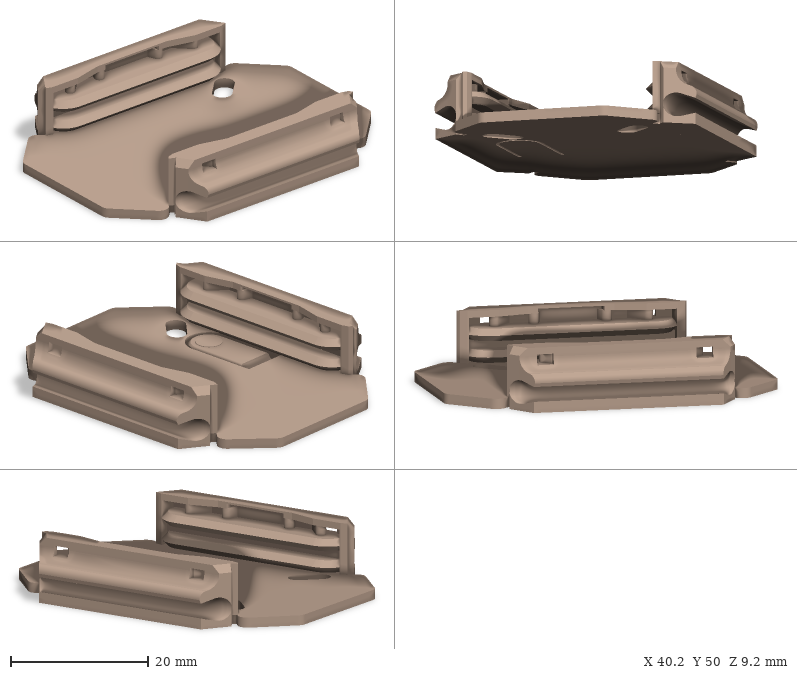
import cadquery as cq
import math

clearance = 1.0

plate_length = 50.0
plate_thickness = 1.5
plate_end_half_width = 9.5
plate_corner_x = 16.05
plate_edge_x = 15.1
corner_radius = 1.5
relief_x = 14.2
relief_width = 1.1

oblong_x = 9.95
oblong_y = 13.0
oblong_width = 3.0
oblong_length = 6.3
oblong_angle = 45

tab_x = 9.58
tab_y = 6.3
tab_radius = 3.0
tab_gap = 0.5
tab_chamfer = 0.3
hinge_y = -3.7
hinge_radius = 1.0
button_diameter = 4.0
button_height = 0.1

rail_tip_x = 11.9
rail_base_z = 1.6
rail_thickness = 1.85
rail_pitch = 3.2
rail_back_x = [15.1, 16.8]
rail_edge_angle = 45
rail_corner_radius = 4.0
rail_corner_y = 12.2

clip_height = 9.2
flange_thickness = 1.0
clip_inner_x = 13.88
wall_x = 17.5
lip_x = 19.93
clip_outer_x = 40.21 / 2
pocket_half_length = 15.6
lip_face_z = 4.4
lip_nose = (19.85, 5.25)
lip_back_x = 19.33
hook_radius = 2.2
hook_root_z = 7.83
groove_x = 17.6
groove_z = 2.75
groove_radius = 1.75
mouth_half_height = 1.1

end_slope = 0.68
jaw_end_slope = 0.65
end_tip_x = 15.9
end_tip_y = 16.9
column_tip_x = 14.22
column_tip_y = 16.85
column_root_y = 15.8
end_chamfer_height = 1.1

hook_tip = (14.72, 17.25)
hook_outer_middle = (14.97, 16.72)
hook_inner = (14.2, 16.87)

scallop_x = 15.0
scallop_half_length = 6.5
scallop_taper_end = 11.0
thin_flange_half_length = 5.0
thin_flange_thickness = 0.3

window_y = 11.95
window_width = 2.5

rib_width = 1.5
ribs = [(14.4, 11.5, 45), (15.1, 5.45, 20)]

rail_top = rail_base_z + rail_pitch + rail_thickness
flange_bottom = clip_height - flange_thickness


def box(x_min, x_max, y_min, y_max, z_min, z_max):
    """Block between the given limits."""
    size = (x_max - x_min, y_max - y_min, z_max - z_min)
    return cq.Workplane("XY").box(*size, centered=False).translate((x_min, y_min, z_min))


def plate_blank():
    """Octagon with a 45 degree relief beside each end of each clip."""
    half_length = plate_length / 2
    corner_y = half_length - (plate_corner_x - plate_end_half_width)
    relief_y = corner_y - (plate_corner_x - relief_x)
    step = relief_width / math.sqrt(2)
    edge_y = relief_y - step - (plate_edge_x - relief_x - step)
    quarter = [
        (plate_end_half_width, half_length),
        (plate_corner_x, corner_y),
        (relief_x, relief_y),
        (plate_edge_x, edge_y),
    ]
    outline = quarter + [(x, -y) for x, y in reversed(quarter)]
    outline += [(-x, -y) for x, y in quarter] + [(-x, y) for x, y in reversed(quarter)]
    blank = cq.Workplane("XY").polyline(outline).close().extrude(plate_thickness)

    def round_corners(body, x, y):
        for sx in (-1, 1):
            for sy in (-1, 1):
                corner = cq.selectors.NearestToPointSelector((sx * x, sy * y, plate_thickness / 2))
                body = body.edges("|Z").edges(corner).fillet(corner_radius)
        return body

    blank = round_corners(blank, plate_end_half_width, half_length)
    return round_corners(blank, plate_corner_x, corner_y)


def tab_shape(radius):
    """Straight tongue from the hinge line to a round end."""
    tongue = box(tab_x - radius, tab_x + radius, hinge_y, tab_y, 0, plate_thickness)
    return tongue.union(cq.Workplane("XY").center(tab_x, tab_y).circle(radius).extrude(plate_thickness))


def make_plate():
    plate = plate_blank()
    for side in (-1, 1):
        plate = plate.cut(
            cq.Workplane("XY")
            .center(side * oblong_x, oblong_y)
            .transformed(rotate=(0, 0, side * oblong_angle))
            .slot2D(oblong_length, oblong_width)
            .extrude(plate_thickness)
        )
    opening_radius = tab_radius + tab_gap
    tab = tab_shape(tab_radius).faces(">Z").edges().chamfer(tab_chamfer)
    plate = plate.cut(tab_shape(opening_radius)).union(tab)
    hinge_groove = (
        cq.Workplane("YZ", origin=(tab_x - opening_radius, 0, 0))
        .center(hinge_y, plate_thickness)
        .circle(hinge_radius)
        .extrude(2 * opening_radius)
    )
    return plate.cut(hinge_groove)


def make_button():
    """Round button standing on the spring tab."""
    return (
        cq.Workplane("XY", origin=(tab_x, tab_y, plate_thickness))
        .circle(button_diameter / 2)
        .extrude(button_height)
    )


def make_rail(side, level):
    """Flat rail with a pointed inner edge and rounded ends, on the +X or -X side."""
    half = rail_thickness / 2
    half_length = rail_corner_y + rail_corner_radius
    back_x = clip_outer_x
    upper = (
        cq.Workplane("XY")
        .moveTo(back_x, -half_length)
        .lineTo(rail_tip_x + rail_corner_radius, -half_length)
        .radiusArc((rail_tip_x, -rail_corner_y), rail_corner_radius)
        .lineTo(rail_tip_x, rail_corner_y)
        .radiusArc((rail_tip_x + rail_corner_radius, half_length), rail_corner_radius)
        .lineTo(back_x, half_length)
        .close()
        .extrude(half, taper=rail_edge_angle)
    )
    rail = upper.union(upper.mirror("XY"))
    rail = rail.intersect(
        box(rail_tip_x, rail_back_x[level], -pocket_half_length, pocket_half_length, -half, half)
    )
    rail = rail.translate((0, 0, rail_base_z + level * rail_pitch + half))
    return rail if side > 0 else rail.mirror("YZ")


def clip_profile():
    """Cross-section with the cable groove between two jaws, along the clip."""
    mouth_x = lip_x - groove_x
    reach = math.hypot(mouth_x, mouth_half_height)
    angle = math.atan2(mouth_half_height, mouth_x) + math.acos(groove_radius / reach)
    tangent_x = groove_x + groove_radius * math.cos(angle)
    tangent_rise = groove_radius * math.sin(angle)
    lip_back_z = hook_root_z - math.sqrt(hook_radius**2 - (hook_radius - lip_back_x + wall_x) ** 2)
    length = 2 * (column_tip_y + clearance)
    return (
        cq.Workplane("XZ", origin=(0, length / 2, 0))
        .moveTo(clip_inner_x, 0)
        .lineTo(lip_x, 0)
        .lineTo(lip_x, groove_z - mouth_half_height)
        .lineTo(tangent_x, groove_z - tangent_rise)
        .threePointArc((groove_x - groove_radius, groove_z), (tangent_x, groove_z + tangent_rise))
        .lineTo(lip_x, groove_z + mouth_half_height)
        .lineTo(clip_outer_x, lip_face_z)
        .threePointArc(lip_nose, (lip_back_x, lip_back_z))
        .radiusArc((wall_x, hook_root_z), hook_radius)
        .lineTo(wall_x, clip_height)
        .lineTo(clip_inner_x, clip_height)
        .close()
        .extrude(length)
    )


def end_notch_corner():
    """Plan point where the 45 degree clip end runs into the slanted column end."""
    x = end_tip_x + (column_tip_y - end_tip_y + end_slope * (column_tip_x - end_tip_x)) / (1 + end_slope)
    return x, end_tip_y + x - end_tip_x


def clip_plan(hooked):
    """Outline of a clip seen from above, as a tall prism."""
    outer_x = clip_outer_x + clearance
    wall_y = end_tip_y - end_slope * (wall_x - end_tip_x)
    outer_y = wall_y - jaw_end_slope * (outer_x - wall_x)
    half = cq.Workplane("XY").moveTo(clip_inner_x, 0).lineTo(outer_x, 0)
    half = half.lineTo(outer_x, outer_y).lineTo(wall_x, wall_y)
    half = half.lineTo(end_tip_x, end_tip_y).lineTo(*end_notch_corner())
    if hooked:
        half = half.threePointArc(hook_outer_middle, hook_tip).lineTo(*hook_inner)
    else:
        half = half.lineTo(column_tip_x, column_tip_y)
    half = half.lineTo(clip_inner_x, column_root_y).close().extrude(clip_height)
    return half.union(half.mirror("XZ"))


def end_chamfer():
    """Wedge that bevels the top of the slanted end, back to the line of the column end."""
    x, inner_y = end_notch_corner()
    outer_y = end_tip_y - end_slope * (x - end_tip_x)
    clear_y = outer_y + clearance
    bevel_z = clip_height - end_chamfer_height
    corners = [(inner_y, clip_height), (outer_y, bevel_z), (clear_y, bevel_z), (clear_y, clip_height)]
    wire = cq.Wire.makePolygon([cq.Vector(x, y, z) for y, z in corners], close=True)
    reach = clip_outer_x - x
    along = cq.Vector(reach, -end_slope * reach, 0)
    wedge = cq.Workplane(obj=cq.Solid.extrudeLinear(wire, [], along))
    return wedge.union(wedge.mirror("XZ"))


def flange_scallop():
    """Shallow trapezoid taken out of the inner edge of the top flange."""
    return (
        cq.Workplane("XY", origin=(0, 0, flange_bottom))
        .moveTo(clip_inner_x, -scallop_taper_end)
        .lineTo(scallop_x, -scallop_half_length)
        .lineTo(scallop_x, scallop_half_length)
        .lineTo(clip_inner_x, scallop_taper_end)
        .close()
        .extrude(flange_thickness)
    )


def flange_rib(nose_x, y, angle):
    """Rib hanging from the flange to the top rail, rounded toward the middle of the part."""
    centre_x = nose_x + rib_width / 2
    height = flange_bottom - rail_top
    run = 2 * (rail_back_x[-1] - centre_x)
    nose = cq.Workplane("XY").circle(rib_width / 2).extrude(height)
    rib = nose.union(box(0, run, -rib_width / 2, rib_width / 2, 0, height))
    rib = rib.rotate((0, 0, 0), (0, 0, 1), -angle).translate((centre_x, y, rail_top))
    return rib.intersect(
        box(clip_inner_x, rail_back_x[-1], 0, pocket_half_length, rail_top, flange_bottom)
    )


def make_clip(side):
    hooked = side > 0
    clip = clip_profile().intersect(clip_plan(hooked))
    clip = clip.cut(box(clip_inner_x, plate_edge_x, -plate_length, plate_length, 0, plate_thickness))
    clip = clip.cut(end_chamfer())

    clip = clip.cut(
        box(clip_inner_x, rail_back_x[0], -pocket_half_length, pocket_half_length,
            plate_thickness, flange_bottom)
    )
    clip = clip.cut(
        box(clip_inner_x, rail_back_x[-1], -pocket_half_length, pocket_half_length,
            rail_top - rail_thickness, flange_bottom)
    )
    clip = clip.cut(flange_scallop())
    clip = clip.cut(
        box(clip_inner_x, rail_back_x[-1], -thin_flange_half_length, thin_flange_half_length,
            flange_bottom, clip_height - thin_flange_thickness)
    )

    for nose_x, y, angle in ribs:
        rib = flange_rib(nose_x, y, angle)
        clip = clip.union(rib).union(rib.mirror("XZ"))
    for end in (-1, 1):
        near_y = end * window_y - window_width / 2
        clip = clip.cut(
            box(rail_back_x[-1], clip_outer_x, near_y, near_y + window_width, rail_top, flange_bottom)
        )
    return clip if side > 0 else clip.mirror("YZ")


plate = make_plate()
button = make_button()
clips = [make_clip(side) for side in (-1, 1)]
rails = [make_rail(side, level) for side in (-1, 1) for level in range(len(rail_back_x))]

result = cq.Compound.makeCompound(
    [plate.val(), button.val()] + [clip.val() for clip in clips] + [rail.val() for rail in rails]
)